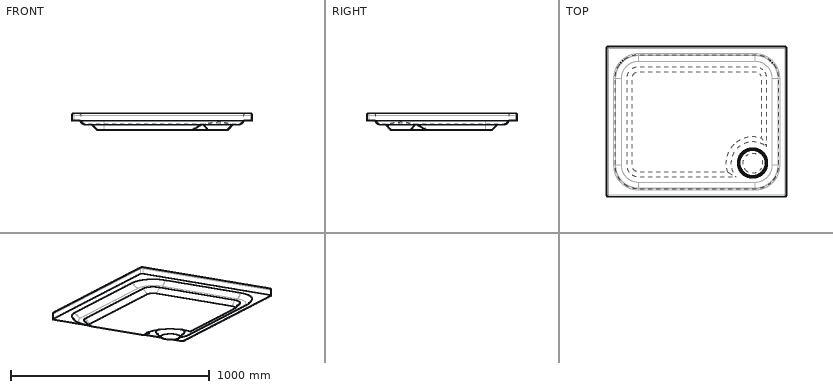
import cadquery as cq
import math

LENGTH = 906.0
WIDTH = 756.0
TOTAL_HEIGHT = 85.0
RIM_THICKNESS = 38.0
RIM_EDGE_RADIUS = 10.0

CORNER_CENTRE_MARGIN = 160.0
LIP_RADIUS = 8.0
WALL_MARGIN = 43.0
WALL_DRAFT = 5.0
COVE_RADIUS = 29.0
BASIN_DEPTH = 53.0
SHELL_THICKNESS = 6.0

FOOT_MARGIN = 127.0
FOOT_FLARE_ANGLE = 45.0

DRAIN_X = 282.0
DRAIN_Y = -208.0
RECESS_TOP_DIAMETER = 149.5
RECESS_DIAMETER = 134.0
RECESS_DEPTH = 4.0
SUMP_BOTTOM_RADIUS = 50.0
SUMP_TOP_RADIUS = 72.5
NOTCH_BOTTOM_RADIUS = 134.0

COVER_DIAMETER = 129.5
COVER_EDGE_HEIGHT = 4.5
COVER_DOME_HEIGHT = 8.0

RIM_BOTTOM = TOTAL_HEIGHT - RIM_THICKNESS
BASIN_FLOOR = TOTAL_HEIGHT - BASIN_DEPTH
BASIN_UNDERSIDE = BASIN_FLOOR - SHELL_THICKNESS
RECESS_FLOOR = BASIN_FLOOR - RECESS_DEPTH


def rounded_prism(margin, bottom, height, taper=0):
    """Rounded rectangle inset from the rim sides, extruded up from a height."""
    outline = cq.Sketch().rect(LENGTH - 2 * margin, WIDTH - 2 * margin)
    outline = outline.vertices().fillet(CORNER_CENTRE_MARGIN - margin)
    return cq.Workplane("XY", origin=(0, 0, bottom)).placeSketch(outline).extrude(height, taper=taper)


def drain_cone(bottom_radius, top_radius, bottom, top):
    """Cone frustum standing on the drain axis."""
    return (
        cq.Workplane("XZ")
        .polyline([(0, bottom), (bottom_radius, bottom), (top_radius, top), (0, top)])
        .close()
        .revolve(360, (0, 0), (0, 1))
        .translate((DRAIN_X, DRAIN_Y, 0))
    )


def wall_margin_at(height):
    """Margin of the drafted basin wall at a height, ignoring its lip and cove."""
    return WALL_MARGIN + (TOTAL_HEIGHT - height) * math.tan(math.radians(WALL_DRAFT))


def make_rim():
    slab = cq.Workplane("XY", origin=(0, 0, RIM_BOTTOM)).rect(LENGTH, WIDTH).extrude(RIM_THICKNESS)
    return slab.edges("|Z or >Z").fillet(RIM_EDGE_RADIUS)


def make_basin_underside():
    """Outside of the basin, running a shell thickness outside its wall and cove."""
    height = TOTAL_HEIGHT - RIM_EDGE_RADIUS - BASIN_UNDERSIDE
    margin = wall_margin_at(BASIN_UNDERSIDE) - SHELL_THICKNESS
    shape = rounded_prism(margin, BASIN_UNDERSIDE, height, taper=-WALL_DRAFT)
    return shape.faces("<Z").edges().fillet(COVE_RADIUS + SHELL_THICKNESS)


def make_basin_hollow():
    margin = wall_margin_at(BASIN_FLOOR)
    hollow = rounded_prism(margin, BASIN_FLOOR, BASIN_DEPTH, taper=-WALL_DRAFT)
    return hollow.faces("<Z").edges().fillet(COVE_RADIUS)


def make_foot():
    """Flared foot, hollowed at one corner to clear the sump."""
    foot = rounded_prism(FOOT_MARGIN, 0, BASIN_UNDERSIDE, taper=-FOOT_FLARE_ANGLE)
    top_radius = NOTCH_BOTTOM_RADIUS - BASIN_UNDERSIDE * math.tan(math.radians(FOOT_FLARE_ANGLE))
    notch = drain_cone(NOTCH_BOTTOM_RADIUS, top_radius, 0, BASIN_UNDERSIDE)
    return foot.cut(notch)


def inside_rim_sides():
    """Selector for edges lying well inside the four sides of the rim."""
    x = LENGTH / 2 - WALL_MARGIN / 2
    y = WIDTH / 2 - WALL_MARGIN / 2
    return cq.selectors.BoxSelector((-x, -y, 0), (x, y, 2 * TOTAL_HEIGHT), boundingbox=True)


def make_tray():
    sump = drain_cone(SUMP_BOTTOM_RADIUS, SUMP_TOP_RADIUS, 0, BASIN_UNDERSIDE)
    recess = drain_cone(RECESS_DIAMETER / 2, RECESS_TOP_DIAMETER / 2, RECESS_FLOOR, BASIN_FLOOR)

    tray = make_rim().union(make_basin_underside()).cut(make_basin_hollow())
    tray = tray.faces(">Z").edges(inside_rim_sides()).fillet(LIP_RADIUS)
    return tray.union(make_foot()).union(sump).cut(recess)


def make_cover():
    """Disc with a shallow spherical dome, resting on the recess floor."""
    radius = COVER_DIAMETER / 2
    edge = RECESS_FLOOR + COVER_EDGE_HEIGHT
    apex = edge + COVER_DOME_HEIGHT
    sphere_radius = (radius**2 + COVER_DOME_HEIGHT**2) / (2 * COVER_DOME_HEIGHT)
    mid_drop = sphere_radius - math.sqrt(sphere_radius**2 - (radius / 2) ** 2)
    return (
        cq.Workplane("XZ")
        .moveTo(0, RECESS_FLOOR)
        .lineTo(radius, RECESS_FLOOR)
        .lineTo(radius, edge)
        .threePointArc((radius / 2, apex - mid_drop), (0, apex))
        .close()
        .revolve(360, (0, 0), (0, 1))
        .translate((DRAIN_X, DRAIN_Y, 0))
    )


tray = make_tray()
cover = make_cover()
result = cq.Compound.makeCompound([tray.val(), cover.val()])